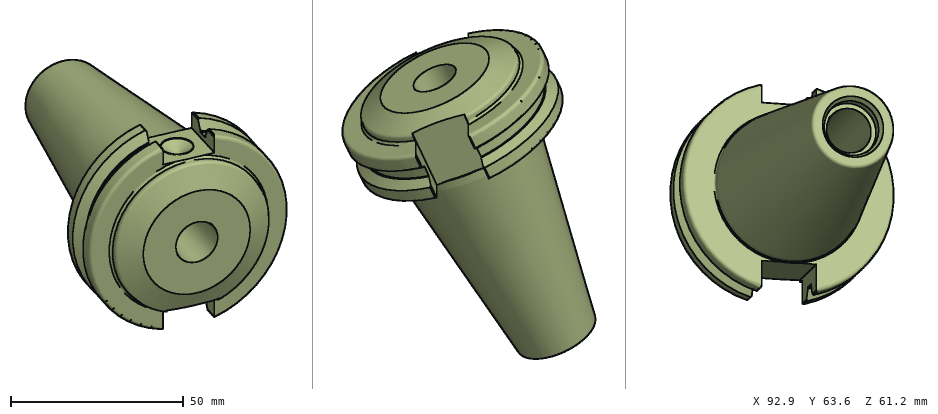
import cadquery as cq
import math

length = 92.85

taper_length = 68.3
gauge_radius = 44.5 / 2
taper_ratio = 7 / 24
small_end_radius = gauge_radius - taper_length * taper_ratio / 2
small_end_fillet = 0.9
neck_fillet = 0.4

flange_start = 71.4
flange_end = 87.3
flange_radius = 31.8
flange_fillet = 1.0
groove_center = 79.2
groove_mouth_width = 7.1
groove_floor_width = 3.4
groove_floor_radius = 28.1
groove_wall_angle = 60.0

collar_radius = 24.7
collar_cone_start = 89.8
collar_face_radius = 17.1
collar_edge_fillet = 1.0
collar_root_fillet = 0.7

bore_diameter = 13.4
socket_diameter = 16.3
socket_depth = 4.7
lead_in_diameter = 18.3
lead_in_length = 1.7

slot_width = 16.4
top_slot_floor = 25.1
bottom_slot_floor = 22.5
slot_edge_chamfer = 0.5

dimple_diameter = 9.6
dimple_point_angle = 120.0
dimple_rim_depth = 0.3


def revolve_about_x(points):
    """Solid of revolution about X from (x, radius) points, closed along the axis."""
    outline = [(points[0][0], 0), *points, (points[-1][0], 0)]
    return cq.Workplane("XY").polyline(outline).close().revolve(360, (0, 0, 0), (1, 0, 0))


def make_taper():
    taper = revolve_about_x([
        (0, small_end_radius),
        (taper_length, gauge_radius),
        (flange_start, gauge_radius),
    ])
    return taper.faces("<X").edges().fillet(small_end_fillet)


def make_flange():
    flange = revolve_about_x([(flange_start, flange_radius), (flange_end, flange_radius)])
    return flange.faces("<X or >X").edges().fillet(flange_fillet)


def make_groove():
    mouth_half = groove_mouth_width / 2
    floor_half = groove_floor_width / 2
    wall_drop = (mouth_half - floor_half) * math.tan(math.radians(groove_wall_angle))
    wall_foot_radius = flange_radius - wall_drop
    outline = [
        (groove_center - mouth_half, flange_radius),
        (groove_center - floor_half, wall_foot_radius),
        (groove_center - floor_half, groove_floor_radius),
        (groove_center + floor_half, groove_floor_radius),
        (groove_center + floor_half, wall_foot_radius),
        (groove_center + mouth_half, flange_radius),
    ]
    return cq.Workplane("XY").polyline(outline).close().revolve(360, (0, 0, 0), (1, 0, 0))


def make_collar():
    collar = revolve_about_x([
        (flange_end, collar_radius),
        (collar_cone_start, collar_radius),
        (length, collar_face_radius),
    ])
    return collar.edges("%CIRCLE and (not <X) and (not >X)").fillet(collar_edge_fillet)


def make_root_fillet(face_x, radius, size, direction):
    """Flared disc blending a cylinder into a flange face; direction is its side along X."""
    tip = (face_x + direction * size, radius)
    center = (face_x + direction * size, radius + size)
    middle = (
        center[0] - direction * size * math.sqrt(0.5),
        center[1] - size * math.sqrt(0.5),
    )
    profile = (
        cq.Workplane("XY")
        .moveTo(face_x, 0)
        .lineTo(face_x, radius + size)
        .threePointArc(middle, tip)
        .lineTo(tip[0], 0)
        .close()
    )
    return profile.revolve(360, (0, 0, 0), (1, 0, 0))


def make_bore():
    return revolve_about_x([
        (0, lead_in_diameter / 2),
        (lead_in_length, socket_diameter / 2),
        (socket_depth, socket_diameter / 2),
        (socket_depth, bore_diameter / 2),
        (length, bore_diameter / 2),
    ])


def make_slot(floor, side):
    """Slot along X through flange and collar; side is +1 for the top and -1 for the bottom.

    The slot flares at 45 degrees where its walls meet the rim of the flange.
    """
    half_width = slot_width / 2
    rim_height = math.sqrt(flange_radius**2 - half_width**2)
    flare_start = rim_height - slot_edge_chamfer
    flare = flange_radius - flare_start
    outline = [
        (-half_width, side * floor),
        (half_width, side * floor),
        (half_width, side * flare_start),
        (half_width + flare, side * flange_radius),
        (-half_width - flare, side * flange_radius),
        (-half_width, side * flare_start),
    ]
    slot = cq.Workplane("YZ", origin=(flange_start, 0, 0)).polyline(outline).close()
    return slot.extrude(length - flange_start)


def make_dimple():
    radius = dimple_diameter / 2
    cone_depth = radius / math.tan(math.radians(dimple_point_angle / 2))
    cone_top = top_slot_floor - dimple_rim_depth
    profile = cq.Workplane("XZ", origin=(groove_center, 0, 0)).polyline([
        (0, top_slot_floor),
        (radius, top_slot_floor),
        (radius, cone_top),
        (0, cone_top - cone_depth),
    ])
    return profile.close().revolve(360, (0, 0, 0), (0, 1, 0))


result = (
    make_flange()
    .cut(make_groove())
    .union(make_taper())
    .union(make_root_fillet(flange_start, gauge_radius, neck_fillet, -1))
    .union(make_collar())
    .union(make_root_fillet(flange_end, collar_radius, collar_root_fillet, 1))
    .cut(make_slot(top_slot_floor, 1))
    .cut(make_slot(bottom_slot_floor, -1))
    .cut(make_dimple())
    .cut(make_bore())
)